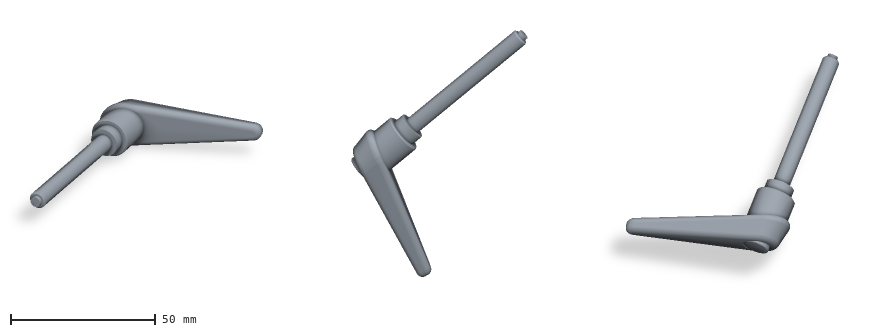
import cadquery as cq
import math


DRAFT_ANGLE = 11.5
LEVER_BASE_Y = 8.6
HEAD_RADIUS = 9.7
TIP_RADIUS = 7.8
TIP_X = 41.9
LOWER_PLANE_Y = 13.9
LOWER_PLANE_ANGLE = 20.0
UPPER_PLANE_Y = 23.65
UPPER_PLANE_ANGLE = 14.8
LEVER_EDGE_FILLET = 2.0
BLANK_HEIGHT = 29.3

HUB_RADIUS = 7.0
HUB_CHAMFER = 0.4

COLLAR_RADIUS = 5.0
COLLAR_HEIGHT = 4.0
BUTTON_RADIUS = 4.6
BUTTON_TOP_Y = 24.3
BUTTON_CHAMFER = 0.3
ROD_RADIUS = 3.0
ROD_CHAMFER = 0.5
TIP_PIN_RADIUS = 1.8
TIP_PIN_LENGTH = 1.4
SPINDLE_BOTTOM_Y = -51.4


def cylinder(radius, bottom_y, top_y):
    """Cylinder on the spindle axis between two Y levels."""
    return cq.Workplane("XZ", origin=(0, bottom_y, 0)).circle(radius).extrude(bottom_y - top_y)


def lever_blank():
    """Two circles joined by their common tangents, tapering towards +Y."""
    tangent_angle = math.acos((HEAD_RADIUS - TIP_RADIUS) / TIP_X)
    cosine = math.cos(tangent_angle)
    sine = math.sin(tangent_angle)
    head_point = (HEAD_RADIUS * cosine, HEAD_RADIUS * sine)
    tip_point = (TIP_X + TIP_RADIUS * cosine, TIP_RADIUS * sine)
    return (
        cq.Workplane("ZX", origin=(0, LEVER_BASE_Y, 0))
        .moveTo(head_point[1], head_point[0])
        .lineTo(tip_point[1], tip_point[0])
        .threePointArc((0, TIP_X + TIP_RADIUS), (-tip_point[1], tip_point[0]))
        .lineTo(-head_point[1], head_point[0])
        .threePointArc((0, -HEAD_RADIUS), (head_point[1], head_point[0]))
        .close()
        .extrude(BLANK_HEIGHT, taper=DRAFT_ANGLE)
    )


def between_planes():
    """Wedge-shaped slab between the lower and upper lever planes."""
    left_x = -2 * HEAD_RADIUS
    right_x = TIP_X + 2 * TIP_RADIUS
    lower_slope = math.tan(math.radians(LOWER_PLANE_ANGLE))
    upper_slope = math.tan(math.radians(UPPER_PLANE_ANGLE))
    return (
        cq.Workplane("XY")
        .moveTo(left_x, LOWER_PLANE_Y + left_x * lower_slope)
        .lineTo(right_x, LOWER_PLANE_Y + right_x * lower_slope)
        .lineTo(right_x, UPPER_PLANE_Y + right_x * upper_slope)
        .lineTo(left_x, UPPER_PLANE_Y + left_x * upper_slope)
        .close()
        .extrude(2 * HEAD_RADIUS, both=True)
    )


def make_lever():
    """Lever arm and hub in one piece, bored for the spindle."""
    arm = lever_blank().intersect(between_planes())
    sloping_faces = arm.faces("%PLANE and #Z")
    arm = sloping_faces.edges().fillet(LEVER_EDGE_FILLET)
    hub_top_y = (LOWER_PLANE_Y + UPPER_PLANE_Y) / 2
    hub = cylinder(HUB_RADIUS, COLLAR_HEIGHT, hub_top_y).faces("<Y").chamfer(HUB_CHAMFER)
    bore = cylinder(BUTTON_RADIUS, COLLAR_HEIGHT, 2 * BUTTON_TOP_Y)
    return arm.union(hub).cut(bore)


def make_spindle():
    """Button, collar, rod and tip pin, all on one axis."""
    rod_bottom_y = SPINDLE_BOTTOM_Y + TIP_PIN_LENGTH
    button = cylinder(BUTTON_RADIUS, COLLAR_HEIGHT, BUTTON_TOP_Y).faces(">Y").chamfer(BUTTON_CHAMFER)
    collar = cylinder(COLLAR_RADIUS, 0, COLLAR_HEIGHT)
    rod = cylinder(ROD_RADIUS, rod_bottom_y, 0).faces("<Y").chamfer(ROD_CHAMFER)
    tip_pin = cylinder(TIP_PIN_RADIUS, SPINDLE_BOTTOM_Y, rod_bottom_y)
    return button.union(collar).union(rod).union(tip_pin)


lever = make_lever()
spindle = make_spindle()

result = cq.Compound.makeCompound([lever.val(), spindle.val()])